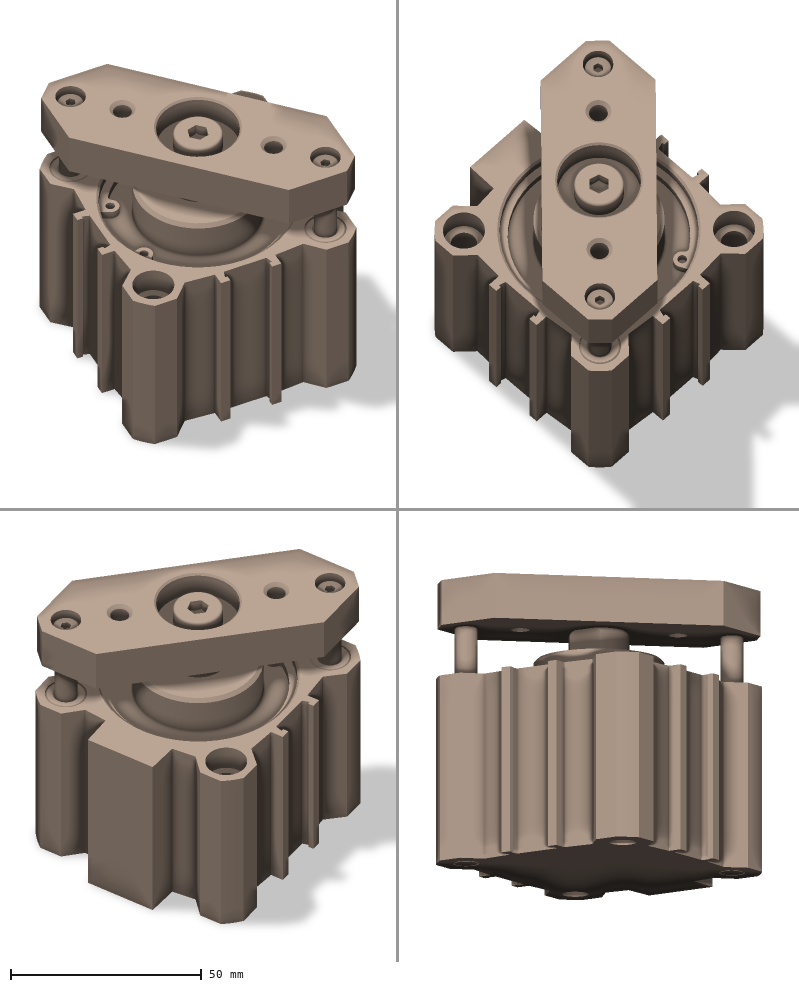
import cadquery as cq
import math

housing_height = 49.5
boss_top = 55.6
plate_bottom = 63.0
plate_top = 75.0

housing_width = 65.0
housing_half_width = housing_width / 2
corner_reach = 43.1
corner_flat_end = 28.2
wall_half_width = 28.5
wall_root = 27.8
lug_inner_end = 21.75
lug_neck = 17.25
rib_outer_side = 8.8
rib_inner_side = 6.8
rib_root_side = 6.2
rib_hook_side = 6.1
rib_tip = 32.2
rib_hook_depth = 30.5
port_face = 37.5
port_top_half_width = 10.1
port_root_half_width = 10.4

corner_offset = 25.05
corner_hole_diameter = 7.0
counterbore_diameter = 11.0
counterbore_depth = 7.0
bushing_chamfer = 0.5

bore_diameter = 52.2
bore_chamfer = 0.6
bore_depth = 15.0
groove_diameter = 55.2
ring_inner_diameter = 47.9
ring_top_depth = 3.0
ring_thickness = 2.25
ring_lug_radius = 2.4
ring_lug_x = 10.2
ring_lug_y = -20.6
ring_lug_hole = 2.5
ring_lug_blend = 1.1
ring_bottom = housing_height - ring_top_depth - ring_thickness
bore_floor = housing_height - bore_depth
boss_diameter = 34.4
boss_chamfer = 1.0
boss_root_fillet = 0.8

plate_turn = 45.0
plate_half_width = 32.25
plate_corner_distance = 42.5
plate_width = 30.15
spigot_diameter = 22.0
spigot_chamfer = 0.5
spigot_depth = 7.0
plate_bolt_bore = 8.0
plate_bolt_depth = 6.0
tapped_diameter = 4.95
tapped_countersink = 6.8
tapped_offset = 14.85

rod_diameter = 16.0
rod_neck_diameter = 10.9
rod_end_height = 1.6
rod_end_radius = 1.9
rod_flat_distance = 6.4
rod_flat_bottom = 57.75
rod_head_diameter = 13.05
rod_head_height = 5.0
rod_head_fillet = 0.7
rod_socket_flats = 5.0
rod_socket_depth = 3.0

guide_diameter = 6.0
guide_chamfer = 0.3
guide_neck_diameter = 4.5
guide_head_diameter = 7.0
guide_head_height = 4.0
guide_head_fillet = 0.45
guide_socket_flats = 2.5
guide_socket_depth = 2.0

socket_turn = 45.0
drill_point_angle = 118.0

CORNERS = [(sx * corner_offset, sy * corner_offset) for sx in (-1, 1) for sy in (-1, 1)]
GUIDE_POINTS = [(-corner_offset, -corner_offset), (corner_offset, corner_offset)]


def cylinder(diameter, bottom, top, center=(0, 0)):
    return cq.Workplane("XY", origin=(*center, bottom)).circle(diameter / 2).extrude(top - bottom)


def cone(bottom_radius, top_radius, bottom, height, center=(0, 0)):
    solid = cq.Solid.makeCone(bottom_radius, top_radius, height, cq.Vector(*center, bottom))
    return cq.Workplane("XY").newObject([solid])


def mirrored(shape):
    return shape.union(shape.mirror("YZ"))


def hex_socket(flats, depth, top, center=(0, 0)):
    socket_radius = flats / math.sqrt(3)
    point_height = socket_radius / math.tan(math.radians(drill_point_angle / 2))
    total_depth = depth + point_height
    prism = (
        cq.Workplane("XY")
        .polygon(6, 2 * socket_radius)
        .extrude(total_depth)
        .rotate((0, 0, 0), (0, 0, 1), socket_turn)
        .translate((*center, top - total_depth))
    )
    drill = cylinder(2 * socket_radius, top - depth, top, center).union(
        cone(0, socket_radius, top - total_depth, point_height, center)
    )
    return prism.intersect(drill)


def with_mirror_image(points):
    return [(-x, y) for x, y in points] + points[::-1]


def ribbed_side():
    return [
        (lug_neck, -wall_root),
        (rib_outer_side, -wall_half_width),
        (rib_outer_side, -rib_tip),
        (rib_hook_side, -rib_tip),
        (rib_hook_side, -rib_hook_depth),
        (rib_inner_side, -rib_hook_depth),
        (rib_root_side, -wall_half_width),
    ]


def port_side():
    return [
        (lug_neck, -wall_root),
        (port_root_half_width, -wall_half_width),
        (port_top_half_width, -port_face),
    ]


def turned(points, quarter_turns):
    for _ in range(quarter_turns):
        points = [(-y, x) for x, y in points]
    return points


def housing_blank():
    corner_middle = corner_reach / math.sqrt(2)
    half_sides = [ribbed_side(), ribbed_side(), port_side(), ribbed_side()]
    outline = cq.Workplane("XY").moveTo(-lug_inner_end, -housing_half_width)
    for quarter_turns, half_side in enumerate(half_sides):
        lug = [(lug_inner_end, -housing_half_width), (corner_flat_end, -housing_half_width)]
        side = with_mirror_image(half_side) + lug
        for point in turned(side, quarter_turns):
            outline = outline.lineTo(*point)
        arc = [(corner_middle, -corner_middle), (housing_half_width, -corner_flat_end)]
        outline = outline.threePointArc(*turned(arc, quarter_turns))
        outline = outline.lineTo(*turned([(housing_half_width, -lug_inner_end)], quarter_turns)[0])
    return outline.close().extrude(housing_height)


def make_housing():
    housing = housing_blank()
    for corner in CORNERS:
        housing = housing.cut(cylinder(corner_hole_diameter, 0, housing_height, corner))
        counterbore_floor = housing_height - counterbore_depth
        housing = housing.cut(cylinder(counterbore_diameter, counterbore_floor, housing_height, corner))
    bore_radius = bore_diameter / 2
    housing = housing.cut(cylinder(bore_diameter, bore_floor, housing_height))
    housing = housing.cut(cylinder(groove_diameter, ring_bottom, ring_bottom + ring_thickness))
    lip = cone(bore_radius, bore_radius + bore_chamfer, housing_height - bore_chamfer, bore_chamfer)
    return housing.cut(lip)


def make_gland():
    gland_radius = bore_diameter / 2
    boss_radius = boss_diameter / 2
    rod_radius = rod_diameter / 2
    return (
        cq.Workplane("XZ")
        .moveTo(rod_radius, bore_floor)
        .lineTo(gland_radius, bore_floor)
        .lineTo(gland_radius, ring_bottom)
        .lineTo(boss_radius + boss_root_fillet, ring_bottom)
        .radiusArc((boss_radius, ring_bottom + boss_root_fillet), boss_root_fillet)
        .lineTo(boss_radius, boss_top - boss_chamfer)
        .lineTo(boss_radius - boss_chamfer, boss_top)
        .lineTo(rod_radius, boss_top)
        .close()
        .revolve(360, (0, 0), (0, 1))
    )


def make_retaining_ring():
    ring_top = ring_bottom + ring_thickness
    base = cq.Workplane("XY", origin=(0, 0, ring_bottom))
    disc = cylinder(groove_diameter, ring_bottom, ring_top)
    lug_center = (ring_lug_x, ring_lug_y)
    lug_distance = math.hypot(*lug_center)
    lug_angle = math.atan2(ring_lug_y, ring_lug_x)

    reach = groove_diameter / lug_distance
    gap_end = (ring_lug_x * reach, ring_lug_y * reach)
    gap_start = (-gap_end[0], gap_end[1])
    gap = base.polyline([(0, 0), gap_start, gap_end]).close().extrude(ring_thickness)

    stem_length = groove_diameter / 2 - lug_distance
    stem = (
        base.center(lug_distance + stem_length / 2, -ring_lug_radius / 2)
        .rect(stem_length, ring_lug_radius)
        .extrude(ring_thickness)
        .rotate((0, 0, 0), (0, 0, 1), math.degrees(lug_angle))
    )
    lug = stem.union(cylinder(2 * ring_lug_radius, ring_bottom, ring_top, lug_center))

    ring = disc.cut(cylinder(ring_inner_diameter, ring_bottom, ring_top)).cut(gap)
    ring = ring.union(mirrored(lug)).intersect(disc)

    inner_radius = ring_inner_diameter / 2
    square_sum = inner_radius**2 + lug_distance**2 - ring_lug_radius**2
    meeting_cosine = square_sum / (2 * inner_radius * lug_distance)
    meeting_angle = lug_angle + math.acos(meeting_cosine)
    meeting_x = inner_radius * math.cos(meeting_angle)
    meeting_y = inner_radius * math.sin(meeting_angle)
    middle_height = ring_bottom + ring_thickness / 2
    for side in (-1, 1):
        corner = cq.NearestToPointSelector((side * meeting_x, meeting_y, middle_height))
        ring = ring.edges("|Z").edges(corner).fillet(ring_lug_blend)
    return ring.cut(mirrored(cylinder(ring_lug_hole, ring_bottom, ring_top, lug_center)))


def make_plate():
    thickness = plate_top - plate_bottom
    base = cq.Workplane("XY", origin=(0, 0, plate_bottom))
    square = base.rect(2 * plate_half_width, 2 * plate_half_width).extrude(thickness)
    band = (
        base.rect(2 * plate_corner_distance, plate_width)
        .extrude(thickness)
        .rotate((0, 0, 0), (0, 0, 1), plate_turn)
    )
    plate = square.intersect(band)
    spigot_radius = spigot_diameter / 2
    plate = plate.cut(cylinder(rod_neck_diameter, plate_bottom, plate_top))
    plate = plate.cut(cylinder(spigot_diameter, plate_top - spigot_depth, plate_top))
    plate = plate.cut(
        cone(spigot_radius, spigot_radius + spigot_chamfer, plate_top - spigot_chamfer, spigot_chamfer)
    )
    for center in GUIDE_POINTS:
        plate = plate.cut(cylinder(guide_neck_diameter, plate_bottom, plate_top, center))
        plate = plate.cut(cylinder(plate_bolt_bore, plate_top - plate_bolt_depth, plate_top, center))
    countersink_depth = (tapped_countersink - tapped_diameter) / 2
    for side in (-1, 1):
        center = (side * tapped_offset, side * tapped_offset)
        plate = plate.cut(cylinder(tapped_diameter, plate_bottom, plate_top, center))
        countersink_bottom = plate_top - countersink_depth
        plate = plate.cut(
            cone(tapped_diameter / 2, tapped_countersink / 2, countersink_bottom, countersink_depth, center)
        )
    return plate


def make_piston_rod():
    radius = rod_diameter / 2
    end_inset = rod_end_radius - math.sqrt(rod_end_radius**2 - rod_end_height**2)
    shank = (
        cq.Workplane("XZ")
        .moveTo(0, bore_floor)
        .lineTo(radius, bore_floor)
        .lineTo(radius, plate_bottom - rod_end_height)
        .radiusArc((radius - end_inset, plate_bottom), -rod_end_radius)
        .lineTo(0, plate_bottom)
        .close()
        .revolve(360, (0, 0), (0, 1))
    )
    runout = radius - rod_flat_distance
    flat = (
        cq.Workplane("YZ", origin=(-radius, 0, 0))
        .moveTo(rod_flat_distance, plate_bottom)
        .lineTo(rod_flat_distance, rod_flat_bottom)
        .lineTo(radius, rod_flat_bottom - runout)
        .lineTo(radius, plate_bottom)
        .close()
        .extrude(rod_diameter)
    )
    head_bottom = plate_top - spigot_depth
    head_top = head_bottom + rod_head_height
    head = cylinder(rod_head_diameter, head_bottom, head_top).faces(">Z").edges().fillet(rod_head_fillet)
    return (
        shank.cut(flat)
        .cut(flat.mirror("XZ"))
        .union(cylinder(rod_neck_diameter, plate_bottom, head_bottom))
        .union(head)
        .cut(hex_socket(rod_socket_flats, rod_socket_depth, head_top))
    )


def make_guide_rod(center):
    head_bottom = plate_top - plate_bolt_depth
    head_top = head_bottom + guide_head_height
    head = cylinder(guide_head_diameter, head_bottom, head_top, center)
    return (
        cylinder(guide_diameter, 0, plate_bottom, center)
        .faces(">Z")
        .chamfer(guide_chamfer)
        .union(cylinder(guide_neck_diameter, plate_bottom, head_bottom, center))
        .union(head.faces(">Z").edges().fillet(guide_head_fillet))
        .cut(hex_socket(guide_socket_flats, guide_socket_depth, head_top, center))
    )


def make_bushing(center):
    top = housing_height
    bottom = top - counterbore_depth
    bore_radius = guide_diameter / 2
    lead_in = cone(bore_radius, bore_radius + bushing_chamfer, top - bushing_chamfer, bushing_chamfer, center)
    return (
        cylinder(counterbore_diameter, bottom, top, center)
        .faces(">Z")
        .chamfer(bushing_chamfer)
        .cut(cylinder(guide_diameter, bottom, top, center))
        .cut(lead_in)
    )


housing = make_housing()
gland = make_gland()
retaining_ring = make_retaining_ring()
piston_rod = make_piston_rod()
plate = make_plate()
guide_rods = [make_guide_rod(center).val() for center in GUIDE_POINTS]
bushings = [make_bushing(center).val() for center in GUIDE_POINTS]

result = cq.Compound.makeCompound(
    [
        housing.val(),
        gland.val(),
        retaining_ring.val(),
        piston_rod.val(),
        plate.val(),
        *guide_rods,
        *bushings,
    ]
)